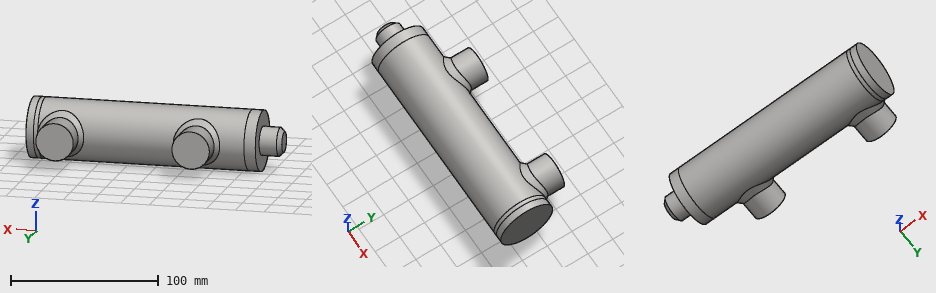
import cadquery as cq

total_length = 175.0
barrel_diameter = 42.0

rod_diameter = 20.0
rod_chamfer = 3.0
rod_exposed_length = 15.0

gland_length = 7.9
weld_ring_length = 3.0
end_cap_length = 5.2
gland_start = rod_exposed_length
tube_start = gland_start + gland_length
end_cap_start = total_length - end_cap_length
weld_ring_start = end_cap_start - weld_ring_length
tube_length = weld_ring_start - tube_start

port_diameter = 26.0
port_height = 37.8
flare_width = 3.2
flare_height = 3.3
flare_diameter = port_diameter + 2 * flare_width
port_positions = [56.0, 150.8]


def axial_cylinder(diameter, start, length):
    """Solid cylinder on the X axis."""
    return cq.Workplane("YZ").workplane(offset=start).circle(diameter / 2).extrude(length)


def make_rod():
    """Rod from its chamfered tip to the face of the tube."""
    return axial_cylinder(rod_diameter, 0, tube_start).faces("<X").chamfer(rod_chamfer)


def make_gland():
    """Front ring that guides the rod."""
    bore = axial_cylinder(rod_diameter, gland_start, gland_length)
    return axial_cylinder(barrel_diameter, gland_start, gland_length).cut(bore)


def radial_cylinder(diameter, position):
    """Solid cylinder along +Y, from the barrel axis out to the port face."""
    return cq.Workplane("XZ", origin=(position, 0, 0)).circle(diameter / 2).extrude(-port_height)


def saddle_face(diameter, position, barrel):
    """Patch of a barrel surface that lies within a round port outline."""
    return radial_cylinder(diameter, position).intersect(barrel).faces("%CYLINDER and >Y").val()


def make_flare(position):
    """Sloping collar between a saddle curve on the tube and one on the port."""
    saddle_start = position - flare_diameter
    saddle_length = 2 * flare_diameter
    tube_surface = axial_cylinder(barrel_diameter, saddle_start, saddle_length)
    raised_surface = axial_cylinder(barrel_diameter + 2 * flare_height, saddle_start, saddle_length)
    foot = saddle_face(flare_diameter, position, tube_surface)
    crown = saddle_face(port_diameter, position, raised_surface)
    slope = cq.Face.makeRuledSurface(foot.outerWire(), crown.outerWire())
    shell = cq.Shell.makeShell([foot, crown, *slope.Faces()])
    return cq.Workplane(cq.Solid.makeSolid(shell).fix())


def make_port(position):
    """Round port with a flared foot, cut to sit on the tube."""
    tube_surface = axial_cylinder(barrel_diameter, tube_start, total_length - tube_start)
    stem = radial_cylinder(port_diameter, position).cut(tube_surface)
    return stem.union(make_flare(position))


rod = make_rod()
gland = make_gland()
tube = axial_cylinder(barrel_diameter, tube_start, tube_length)
weld_ring = axial_cylinder(barrel_diameter, weld_ring_start, weld_ring_length)
end_cap = axial_cylinder(barrel_diameter, end_cap_start, end_cap_length)
ports = [make_port(position) for position in port_positions]

result = cq.Compound.makeCompound(
    [
        rod.val(),
        gland.val(),
        tube.val(),
        weld_ring.val(),
        end_cap.val(),
        *[port.solids().val() for port in ports],
    ]
)